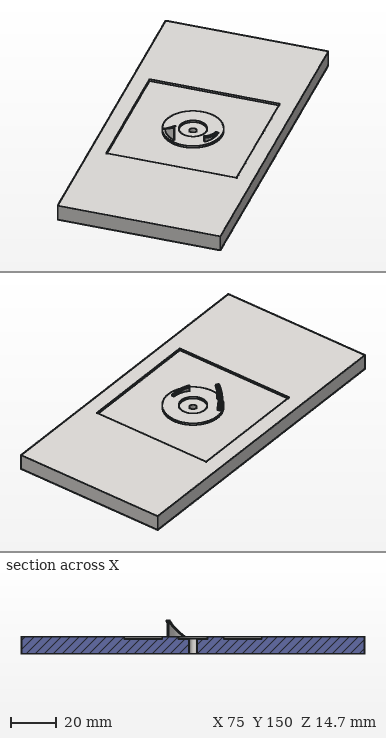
import cadquery as cq
import math

PLATE_WIDTH = 75.0
PLATE_LENGTH = 150.0
PLATE_THICKNESS = 7.5

POCKET_SIDE = 60.0
POCKET_DEPTH = 1.0
DISC_DIAMETER = 27.0
DISC_HEIGHT = 1.0
RECESS_DIAMETER = 12.5
RECESS_DEPTH = 1.0
HOLE_DIAMETER = 3.3

POCKET_FLOOR_Z = PLATE_THICKNESS - POCKET_DEPTH
DISC_TOP_Z = POCKET_FLOOR_Z + DISC_HEIGHT

ROOT_DEPTH = 1.5
RAMP_ROOT_Z = POCKET_FLOOR_Z - ROOT_DEPTH
HELIX_POINTS = 9

TALL_RAMP_RADIUS = 12.0
TALL_RAMP_WIDTH = 2.0
TALL_RAMP_CHAMFER = 0.4
TALL_RAMP_OVERHANG = 0.7
TALL_RAMP_START_ANGLE = 198.0
TALL_RAMP_END_ANGLE = 245.0
TALL_RAMP_START_HEIGHT = 0.0
TALL_RAMP_END_HEIGHT = 7.2

LOW_RAMP_RADIUS = 11.0
LOW_RAMP_WIDTH = 1.5
LOW_RAMP_CHAMFER = 0.3
LOW_RAMP_OVERHANG = 0.2
LOW_RAMP_START_ANGLE = 0.0
LOW_RAMP_END_ANGLE = -45.0
LOW_RAMP_START_HEIGHT = 0.5
LOW_RAMP_END_HEIGHT = 2.5


def curve_around_axis(radius, start_angle, end_angle, start_z, end_z):
    """Edge that turns about the Z axis while its height changes evenly with the angle."""
    points = []
    for i in range(HELIX_POINTS):
        share = i / (HELIX_POINTS - 1)
        angle = math.radians(start_angle + share * (end_angle - start_angle))
        z = start_z + share * (end_z - start_z)
        points.append(cq.Vector(radius * math.cos(angle), radius * math.sin(angle), z))
    return cq.Edge.makeSpline(points)


def solid_between_curves(curves):
    """Solid whose long sides are ruled between neighbouring curves, closed by a flat face at each end."""
    faces = []
    for i, curve in enumerate(curves):
        faces.append(cq.Face.makeRuledSurface(curves[i - 1], curve))
    starts = [curve.startPoint() for curve in curves]
    ends = [curve.endPoint() for curve in curves]
    for corners in (starts, ends):
        faces.append(cq.Face.makeFromWires(cq.Wire.makePolygon(corners, close=True)))
    return cq.Workplane(cq.Solid.makeSolid(cq.Shell.makeShell(faces)).fix())


def make_ramp(radius, width, chamfer, overhang, start_angle, end_angle, start_height, end_height):
    """Ramp around the Z axis; the heights are those of its top above the disc."""
    start_z = DISC_TOP_Z + start_height
    end_z = DISC_TOP_Z + end_height
    inner = radius - width / 2
    outer = radius + width / 2

    def climbing(curve_radius, drop):
        return curve_around_axis(curve_radius, start_angle, end_angle, start_z - drop, end_z - drop)

    def level(curve_radius):
        return curve_around_axis(curve_radius, start_angle, end_angle, RAMP_ROOT_Z, RAMP_ROOT_Z)

    cap = solid_between_curves([
        climbing(inner, chamfer),
        climbing(inner + chamfer, 0),
        climbing(outer - chamfer, 0),
        climbing(outer, chamfer),
    ])
    web_inner = inner + overhang
    web_outer = outer - overhang
    web_drop = chamfer / 2
    web = solid_between_curves([
        level(web_inner),
        climbing(web_inner, web_drop),
        climbing(web_outer, web_drop),
        level(web_outer),
    ])
    return cap.union(web)


def make_base():
    """Plate with the square pocket, the disc inside it, the disc's recess and the centre hole."""
    plate = cq.Workplane().box(PLATE_WIDTH, PLATE_LENGTH, PLATE_THICKNESS, centered=(True, True, False))
    pocket = (
        cq.Workplane()
        .workplane(offset=POCKET_FLOOR_Z)
        .rect(POCKET_SIDE, POCKET_SIDE)
        .circle(DISC_DIAMETER / 2)
        .extrude(POCKET_DEPTH)
    )
    recess = (
        cq.Workplane()
        .workplane(offset=DISC_TOP_Z - RECESS_DEPTH)
        .circle(RECESS_DIAMETER / 2)
        .extrude(RECESS_DEPTH)
    )
    hole = cq.Workplane().circle(HOLE_DIAMETER / 2).extrude(PLATE_THICKNESS)
    return plate.cut(pocket).cut(recess).cut(hole)


tall_ramp = make_ramp(
    TALL_RAMP_RADIUS,
    TALL_RAMP_WIDTH,
    TALL_RAMP_CHAMFER,
    TALL_RAMP_OVERHANG,
    TALL_RAMP_START_ANGLE,
    TALL_RAMP_END_ANGLE,
    TALL_RAMP_START_HEIGHT,
    TALL_RAMP_END_HEIGHT,
)
low_ramp = make_ramp(
    LOW_RAMP_RADIUS,
    LOW_RAMP_WIDTH,
    LOW_RAMP_CHAMFER,
    LOW_RAMP_OVERHANG,
    LOW_RAMP_START_ANGLE,
    LOW_RAMP_END_ANGLE,
    LOW_RAMP_START_HEIGHT,
    LOW_RAMP_END_HEIGHT,
)

result = make_base().union(tall_ramp).union(low_ramp)